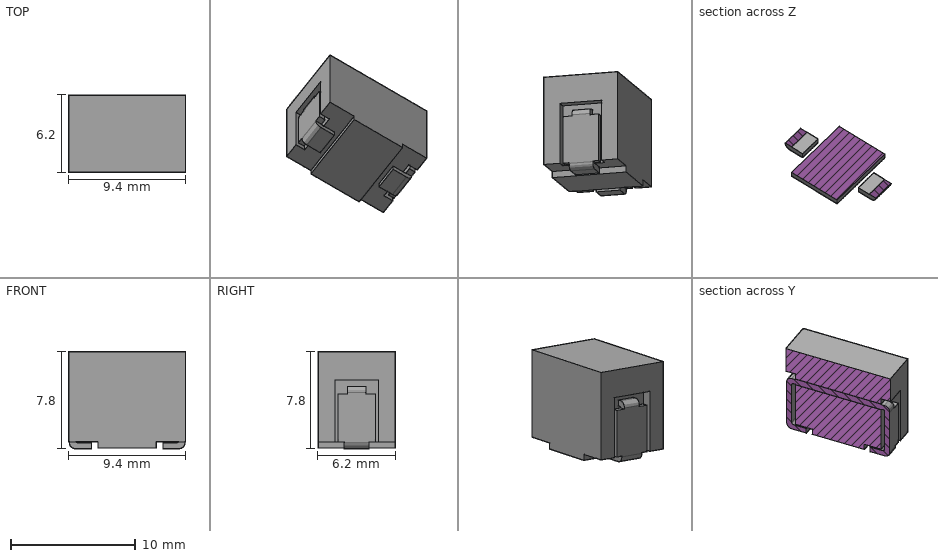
import cadquery as cq

core_length = 9.4
core_width = 6.2
total_height = 7.8
core_bottom = 0.55
rib_length = 4.7
rib_bottom = 0.05
recess_width = 3.52
recess_depth = 0.85
recess_top = 5.53

strip_thickness = 0.5
end_clearance = 0.05
outer_bend_radius = strip_thickness
upper_inner_radius = 0.1
lower_inner_radius = 0.2
strip_top = 5.01
neck_width = 1.49
plate_width = 3.0
plate_top = 4.42
foot_width = 2.0
foot_end = 1.84

clip_length = core_length - 2 * end_clearance
bridge_bottom = strip_top - strip_thickness


def box_between(length, width, bottom, top):
    """Box centred on the Z axis, reaching from bottom to top."""
    return cq.Workplane("XY").workplane(offset=bottom).rect(length, width).extrude(top - bottom)


def make_core():
    block = box_between(core_length, core_width, core_bottom, total_height)
    rib = box_between(rib_length, core_width, rib_bottom, core_bottom)
    body = block.union(rib)
    for side in (-1, 1):
        recess = box_between(2 * recess_depth, recess_width, core_bottom, recess_top)
        body = body.cut(recess.translate((side * core_length / 2, 0, 0)))
    channel = box_between(core_length, neck_width, bridge_bottom, strip_top)
    return body.cut(channel)


def make_bent_strip():
    """Strip of constant width: bridge on top, a leg at each end, feet turned inward."""
    outer = box_between(clip_length, plate_width, 0, strip_top)
    outer = outer.edges("|Y").fillet(outer_bend_radius)

    inner_length = clip_length - 2 * strip_thickness
    inner = box_between(inner_length, plate_width, strip_thickness, bridge_bottom)
    inner = inner.edges("|Y and >Z").fillet(upper_inner_radius)
    inner = inner.edges("|Y and <Z").fillet(lower_inner_radius)

    gap_between_feet = box_between(core_length - 2 * foot_end, plate_width, 0, bridge_bottom)
    return outer.cut(inner).cut(gap_between_feet)


def make_clip():
    foot_zone = box_between(clip_length, foot_width, 0, core_bottom)
    plate_zone = box_between(clip_length, plate_width, core_bottom, plate_top)
    neck_zone = box_between(clip_length, neck_width, plate_top, strip_top)
    stepped_outline = foot_zone.union(plate_zone).union(neck_zone)
    return make_bent_strip().intersect(stepped_outline)


core = make_core().solids()
clip = make_clip().solids()
result = cq.Compound.makeCompound([core.val(), clip.val()])